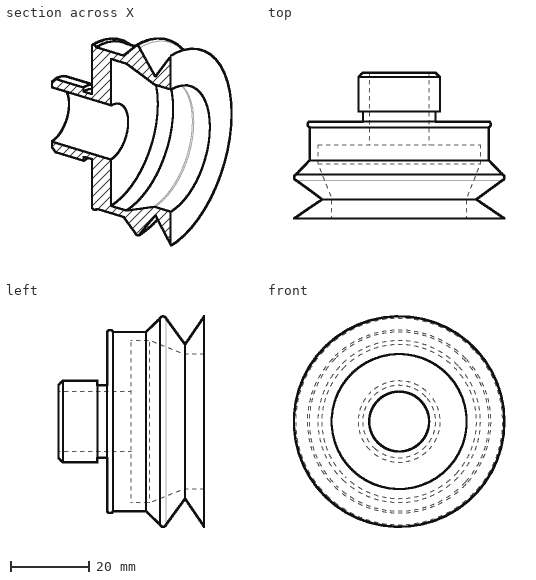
import cadquery as cq


overall_length = 37.39
lip_diameter = 54.0

fold_root_y = 4.9
fold_root_diameter = 39.6
fold_crest_y = 10.55
fold_crest_width = 1.5
fold_crest_rise = 0.5

body_diameter = 46.0
body_length = 9.95
body_end_y = 24.85
body_start_y = body_end_y - body_length
bead_diameter = 47.0
bead_width = 1.5

neck_diameter = 18.63
collar_diameter = 20.94
collar_start_y = 27.4
collar_chamfer = (collar_diameter - neck_diameter) / 2

bore_diameter = 15.3
mouth_diameter = 34.6
mouth_depth = 5.05
mouth_edge_diameter = 34.9
mouth_edge_y = 5.6
chamber_diameter = 41.6
chamber_start_y = 14.0
chamber_floor_y = 18.8


def revolve_about_axis(outline):
    """Turn a closed (radius, y) outline into a solid of revolution about the Y axis."""
    return outline.revolve(360, (0, 0, 0), (0, 1, 0))


def make_outer_body():
    """Solid outer shape: lip, fold, body, bead, neck and collar."""
    lip_radius = lip_diameter / 2
    crest_radius = lip_radius
    crest_edge_radius = crest_radius - fold_crest_rise
    body_radius = body_diameter / 2
    neck_radius = neck_diameter / 2
    collar_radius = collar_diameter / 2

    outline = (
        cq.Workplane("XY")
        .lineTo(lip_radius, 0)
        .lineTo(fold_root_diameter / 2, fold_root_y)
        .lineTo(crest_edge_radius, fold_crest_y - fold_crest_width / 2)
        .threePointArc(
            (crest_radius, fold_crest_y),
            (crest_edge_radius, fold_crest_y + fold_crest_width / 2),
        )
        .lineTo(body_radius, body_start_y)
        .lineTo(body_radius, body_end_y - bead_width)
        .threePointArc(
            (bead_diameter / 2, body_end_y - bead_width / 2),
            (body_radius, body_end_y),
        )
        .lineTo(neck_radius, body_end_y)
        .lineTo(neck_radius, collar_start_y)
        .lineTo(collar_radius, collar_start_y)
        .lineTo(collar_radius, overall_length - collar_chamfer)
        .lineTo(collar_radius - collar_chamfer, overall_length)
        .lineTo(0, overall_length)
        .close()
    )
    return revolve_about_axis(outline)


def make_hollow():
    """Space inside the cup: mouth, flare, chamber and through bore."""
    mouth_radius = mouth_diameter / 2
    chamber_radius = chamber_diameter / 2
    bore_radius = bore_diameter / 2

    outline = (
        cq.Workplane("XY")
        .lineTo(mouth_radius, 0)
        .lineTo(mouth_radius, mouth_depth)
        .lineTo(mouth_edge_diameter / 2, mouth_edge_y)
        .lineTo(chamber_radius, chamber_start_y)
        .lineTo(chamber_radius, chamber_floor_y)
        .lineTo(bore_radius, chamber_floor_y)
        .lineTo(bore_radius, overall_length)
        .lineTo(0, overall_length)
        .close()
    )
    return revolve_about_axis(outline)


result = make_outer_body().cut(make_hollow())